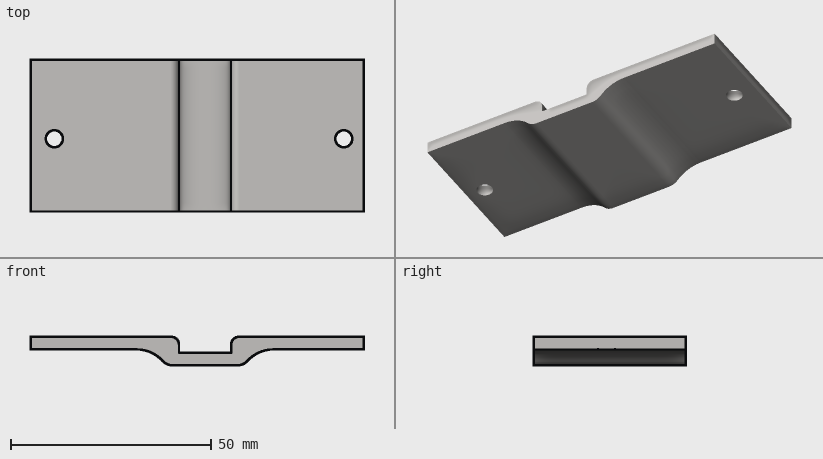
import cadquery as cq
import math

LENGTH = 83.25
WIDTH = 38.0
SHEET_THICKNESS = 3.2
STEP_DEPTH = 4.0
CHANNEL_WIDTH = 13.0
CHANNEL_CENTRE_X = 1.95
LIP_RADIUS = 2.0
BLEND_RADIUS = 9.0
HEEL_RADIUS = 3.3
BASE_WIDTH = 16.2
HOLE_DIAMETER = 4.2
LEFT_HOLE_INSET = 5.9
RIGHT_HOLE_INSET = 5.0
HOLE_Y = -0.8

FLANGE_BOTTOM = STEP_DEPTH
TOP = STEP_DEPTH + SHEET_THICKNESS
LEFT_END = -LENGTH / 2
RIGHT_END = LENGTH / 2

ARC_SUM = BLEND_RADIUS + HEEL_RADIUS
SLOPE = math.acos(1 - STEP_DEPTH / ARC_SUM)
BLEND_RUN = ARC_SUM * math.sin(SLOPE)


def underside_points(side):
    """Points of the S-curve from the base up to the flange; side is -1 for -X, +1 for +X."""
    base_end = CHANNEL_CENTRE_X + side * BASE_WIDTH / 2
    flange_start = base_end + side * BLEND_RUN

    def heel(angle):
        x = base_end + side * HEEL_RADIUS * math.sin(angle)
        return (x, HEEL_RADIUS * (1 - math.cos(angle)))

    def hollow(angle):
        x = flange_start - side * BLEND_RADIUS * math.sin(angle)
        return (x, FLANGE_BOTTOM - BLEND_RADIUS * (1 - math.cos(angle)))

    return [heel(0), heel(SLOPE / 2), heel(SLOPE), hollow(SLOPE / 2), hollow(0)]


def make_body():
    """Constant cross-section swept across the full width."""
    left = underside_points(-1)
    right = underside_points(1)
    channel_left = CHANNEL_CENTRE_X - CHANNEL_WIDTH / 2
    channel_right = CHANNEL_CENTRE_X + CHANNEL_WIDTH / 2
    lip_z = TOP - LIP_RADIUS
    return (
        cq.Workplane("XZ")
        .moveTo(*left[0])
        .lineTo(*right[0])
        .threePointArc(right[1], right[2])
        .threePointArc(right[3], right[4])
        .lineTo(RIGHT_END, FLANGE_BOTTOM)
        .lineTo(RIGHT_END, TOP)
        .lineTo(channel_right + LIP_RADIUS, TOP)
        .radiusArc((channel_right, lip_z), -LIP_RADIUS)
        .lineTo(channel_right, SHEET_THICKNESS)
        .lineTo(channel_left, SHEET_THICKNESS)
        .lineTo(channel_left, lip_z)
        .radiusArc((channel_left - LIP_RADIUS, TOP), -LIP_RADIUS)
        .lineTo(LEFT_END, TOP)
        .lineTo(LEFT_END, FLANGE_BOTTOM)
        .lineTo(*left[4])
        .threePointArc(left[3], left[2])
        .threePointArc(left[1], left[0])
        .close()
        .extrude(WIDTH / 2, both=True)
    )


def drill_holes(body):
    """One through hole in each flange."""
    centres = [(LEFT_END + LEFT_HOLE_INSET, HOLE_Y), (RIGHT_END - RIGHT_HOLE_INSET, HOLE_Y)]
    drills = cq.Workplane("XY").pushPoints(centres).circle(HOLE_DIAMETER / 2).extrude(TOP)
    return body.cut(drills)


result = drill_holes(make_body())